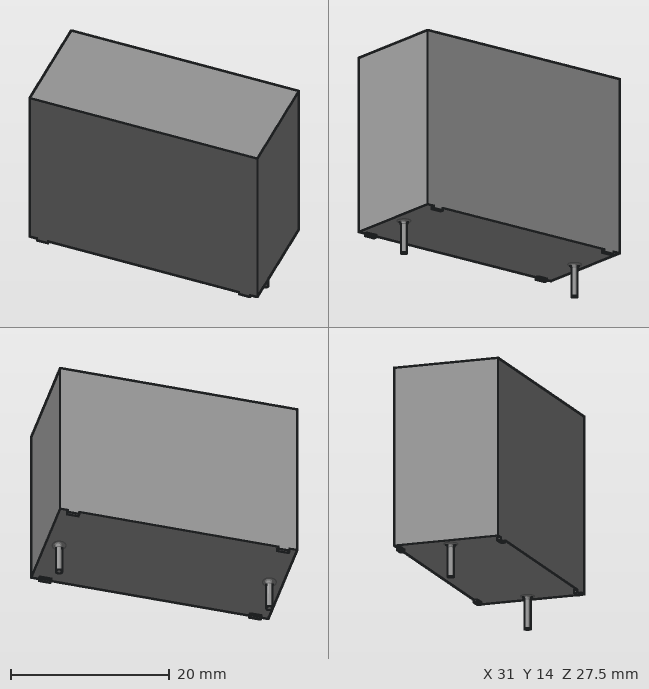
import cadquery as cq

length = 31.0
width = 14.0
total_height = 27.5

lead_length = 4.28
lead_diameter = 0.8
lead_pitch = 27.5
meniscus_radius = 0.45

foot_length = 1.5
foot_width = 0.5
foot_height = 0.3

body_height = total_height - lead_length
lead_radius = lead_diameter / 2
lead_positions = [(-lead_pitch / 2, 0), (lead_pitch / 2, 0)]


def make_body():
    """Rectangular case with its underside on Z = 0."""
    return cq.Workplane("XY").box(length, width, body_height, centered=(True, True, False))


def make_lead():
    """Round lead hanging below Z = 0, with a concave collar at its root."""
    collar_radius = lead_radius + meniscus_radius
    arc_offset = meniscus_radius * (1 - 0.5**0.5)
    return (
        cq.Workplane("XZ")
        .lineTo(collar_radius, 0)
        .threePointArc((lead_radius + arc_offset, -arc_offset), (lead_radius, -meniscus_radius))
        .lineTo(lead_radius, -lead_length)
        .lineTo(0, -lead_length)
        .close()
        .revolve(360, (0, 0), (0, 1))
    )


def make_feet():
    """Four feet in line with the leads, along both long edges of the underside."""
    foot_y = (width - foot_width) / 2
    return (
        cq.Workplane("XY")
        .rarray(lead_pitch, 2 * foot_y, 2, 2)
        .rect(foot_length, foot_width)
        .extrude(-foot_height)
    )


result = make_body().union(make_feet())
for x, y in lead_positions:
    result = result.union(make_lead().translate((x, y, 0)))